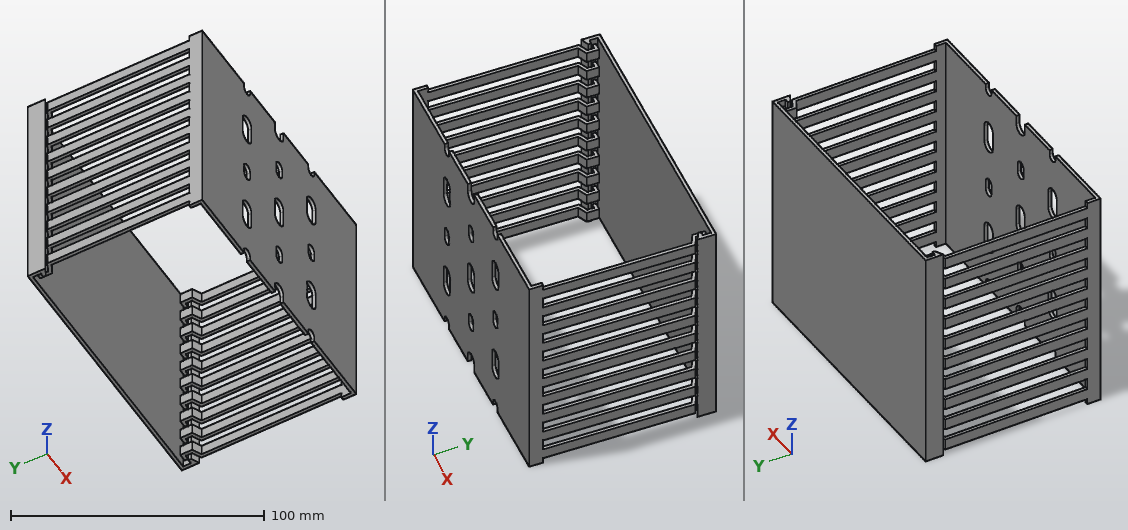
import cadquery as cq


width = 120.0
depth = 80.0
length = 100.0
wall = 1.5

finger_count = 10
finger_pitch = length / finger_count
finger_height = finger_pitch / 2
sill_depth = 6.0

hook_drop = 2.5
hook_reach = 5.5
hook_tip_gap = 0.5
lip_drop = 5.0
lip_gap = 0.5
cover_edge_drop = 8.0
finger_edge_drop = 9.0
finger_bend_drop = 10.0
slant = 0.5

hook_inside = hook_reach - wall
lip_reach = hook_inside - lip_gap

slot_pitch = length / 4
long_slot_length = 14.0
long_slot_width = 6.6
short_slot_length = 8.0
short_slot_width = 4.5


half_width = width / 2
cover_top = depth / 2
floor_bottom = -depth / 2


def prism(half_profile):
    """Mirror a half outline, given as (inset from the side face, drop from the cover), and extrude it."""
    left = [(inset - half_width, cover_top - drop) for inset, drop in half_profile]
    right = [(-x, y) for x, y in reversed(left)]
    return cq.Workplane("XY").polyline(left + right).close().extrude(length / 2, both=True)


def make_cover():
    """Channel whose side walls end in inward lips that catch the finger hooks."""
    half_profile = [
        (0, 0),
        (0, cover_edge_drop),
        (lip_reach, cover_edge_drop - slant * lip_reach),
        (lip_reach, lip_drop),
        (wall, lip_drop),
        (wall, wall),
    ]
    return prism(half_profile)


def finger_gaps():
    """Openings beside the fingers, above the sill and across the full width."""
    gap_height = finger_pitch - finger_height
    centres = [(0, (i - finger_count / 2) * finger_pitch) for i in range(finger_count + 1)]
    return (
        cq.Workplane("XZ", origin=(0, floor_bottom + sill_depth, 0))
        .pushPoints(centres)
        .rect(width, gap_height)
        .extrude(-depth)
    )


def floor_slots(slot_length, slot_width, parity):
    """Slots on the grid places whose column and row add up to an even (0) or odd (1) number."""
    centres = [
        (column * slot_pitch, row * slot_pitch)
        for column in (-1, 0, 1)
        for row in (-2, -1, 0, 1, 2)
        if (column + row) % 2 == parity
    ]
    return (
        cq.Workplane("XZ", origin=(0, floor_bottom, 0))
        .pushPoints(centres)
        .slot2D(slot_length, slot_width, 90)
        .extrude(-wall)
    )


def make_base():
    """Duct base: slotted floor and two side walls cut into hooked fingers."""
    half_profile = [
        (0, depth),
        (0, finger_edge_drop),
        (hook_inside, finger_edge_drop - slant * hook_inside),
        (hook_inside, hook_drop + wall),
        (wall + hook_tip_gap, hook_drop + wall),
        (wall + hook_tip_gap, hook_drop),
        (hook_reach, hook_drop),
        (hook_reach, finger_bend_drop - slant * hook_inside),
        (wall, finger_bend_drop),
        (wall, depth - wall),
    ]
    base = prism(half_profile).cut(finger_gaps())
    base = base.cut(floor_slots(long_slot_length, long_slot_width, 0))
    return base.cut(floor_slots(short_slot_length, short_slot_width, 1))


cover = make_cover()
base = make_base()

result = cq.Compound.makeCompound([cover.val(), base.val()])